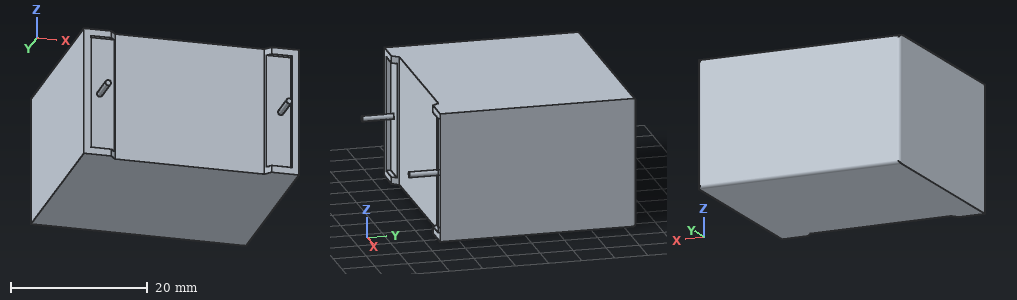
import cadquery as cq

body_width = 32.7
body_height = 19.7
overall_length = 33.7
lead_protrusion = 4.0
body_length = overall_length - lead_protrusion

back_fillet = 0.5

foot_depth = 1.0
recess_mouth_width = 24.33
recess_floor_width = 22.65

rim_thickness = 1.08
sunk_depth = 0.7

lead_diameter = 0.85
lead_pitch = 27.5
lead_embedment = 2.02
lead_length = lead_embedment + sunk_depth + lead_protrusion


def make_block():
    """Main box, its front face on the XZ plane and its back edges rounded."""
    block = cq.Workplane("XY").box(body_width, body_length, body_height, centered=(True, False, True))
    return block.faces(">Y").edges().fillet(back_fillet)


def make_recess():
    """Trapezoidal channel that runs the full height between the two feet."""
    half_mouth = recess_mouth_width / 2
    half_floor = recess_floor_width / 2
    outline = [
        (-half_mouth, 0),
        (-half_floor, foot_depth),
        (half_floor, foot_depth),
        (half_mouth, 0),
    ]
    return cq.Workplane("XY").polyline(outline).close().extrude(body_height / 2, both=True)


def make_sunk_area():
    """Shallow rectangle inside the rim; it forms a pocket in each foot and opens into the recess."""
    return cq.Workplane("XY").box(
        body_width - 2 * rim_thickness,
        sunk_depth,
        body_height - 2 * rim_thickness,
        centered=(True, False, True),
    )


def make_lead(side):
    """Round lead along Y, side -1 or +1, with its inner end buried in the housing."""
    inner_end = (side * lead_pitch / 2, sunk_depth + lead_embedment, 0)
    return cq.Workplane("XZ", origin=inner_end).circle(lead_diameter / 2).extrude(lead_length)


leads = [make_lead(side) for side in (-1, 1)]

housing = make_block().cut(make_recess()).cut(make_sunk_area())
for lead in leads:
    housing = housing.cut(lead)

result = cq.Compound.makeCompound([housing.val(), *[lead.val() for lead in leads]])